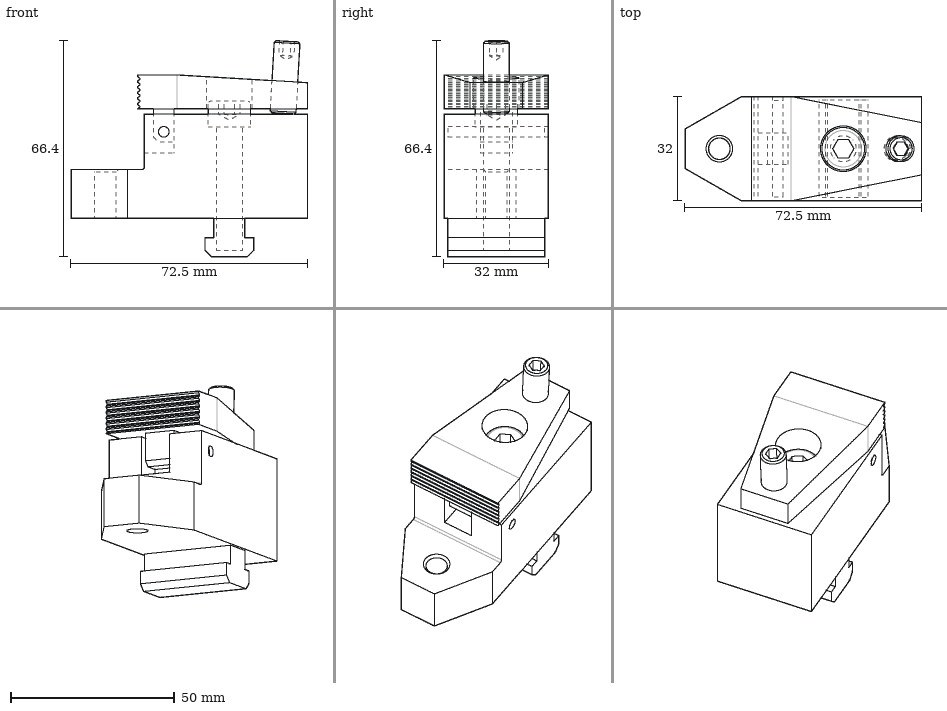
import cadquery as cq
import math


length = 72.5
width = 32.0
housing_height = 32.0
foot_height = 15.0
foot_tip_width = 12.2
foot_taper_length = 17.25
step_x = 22.4
step_fillet = 0.65
mount_hole_x = 10.5
mount_hole_diameter = 6.5
mount_hole_chamfer = 0.8
mount_hole_chamfer_angle = 90.0
slot_width = 9.8
slot_floor_z = 20.0

jaw_gap = 1.6
jaw_front_x = 20.4
jaw_height = 10.45
jaw_kink_x = 32.5
jaw_tail_drop = 2.4
jaw_tail_width = 16.0
jaw_bottom_z = housing_height + jaw_gap
jaw_top_z = jaw_bottom_z + jaw_height
groove_count = 6
groove_depth = 0.7
groove_mouth = 1.3
groove_floor = 0.255
first_groove_drop = 1.2
last_groove_rise = 0.65
groove_pitch = (jaw_height - first_groove_drop - last_groove_rise) / (groove_count - 1)
lug_front_x = 25.2
lug_length = 6.4
lug_bottom_z = 23.35
lug_chamfer = 1.6
lug_rear_x = lug_front_x + lug_length

pin_diameter = 3.25
pin_z = 26.5
pin_inset = 1.2
pin_x = lug_front_x + lug_length / 2

screw_x = 48.5
head_diameter = 13.05
head_height = 8.0
head_top_z = 35.95
head_fillet = 0.95
shank_diameter = 8.0
jaw_clearance_diameter = 14.0
head_socket_width = 5.65
head_socket_depth = 4.0
head_bottom_z = head_top_z - head_height

nut_length = 29.8
nut_stem_width = 9.6
nut_flange_width = 15.0
nut_stem_height = 5.9
nut_flange_height = 5.95
nut_chamfer = 2.0
nut_bottom_z = -(nut_stem_height + nut_flange_height)
shank_end_z = nut_bottom_z + nut_chamfer

set_screw_diameter = 8.0
set_screw_length = 22.2
set_screw_chamfer = 0.6
set_screw_contact_x = 68.4
set_screw_socket_width = 4.05
set_screw_socket_depth = 4.35
set_screw_tilt = 3.3

socket_cone_half_angle = 60.0


def side_prism(points, depth):
    """Extrude an XZ outline to the given depth, centred on Y = 0."""
    return cq.Workplane("XZ").polyline(points).close().extrude(depth / 2, both=True)


def vertical_cylinder(x, diameter, bottom_z, top_z):
    plane = cq.Workplane("XY", origin=(x, 0, bottom_z))
    return plane.circle(diameter / 2).extrude(top_z - bottom_z)


def cross_cylinder(x, z, diameter, cylinder_length):
    plane = cq.Workplane("XZ", origin=(x, 0, z))
    return plane.circle(diameter / 2).extrude(cylinder_length / 2, both=True)


def hex_socket(top_z, across_flats, depth):
    """Hexagonal socket on the Z axis, with a conical floor below its flat-sided part."""
    corner_radius = across_flats / math.sqrt(3)
    cone_depth = corner_radius / math.tan(math.radians(socket_cone_half_angle))
    top_plane = cq.Workplane("XY", origin=(0, 0, top_z))
    hexagon = top_plane.polygon(6, 2 * corner_radius).extrude(-depth - cone_depth)
    bore_profile = [
        (0, top_z),
        (corner_radius, top_z),
        (corner_radius, top_z - depth),
        (0, top_z - depth - cone_depth),
    ]
    bore = cq.Workplane("XZ").polyline(bore_profile).close().revolve(360, (0, 0), (0, 1))
    return hexagon.intersect(bore)


def make_cap_screw():
    head = vertical_cylinder(0, head_diameter, head_bottom_z, head_top_z)
    head = head.faces(">Z").edges().fillet(head_fillet)
    shank = vertical_cylinder(0, shank_diameter, shank_end_z, head_bottom_z)
    socket = hex_socket(head_top_z, head_socket_width, head_socket_depth)
    return head.union(shank).cut(socket).translate((screw_x, 0, 0))


def make_set_screw():
    body = cq.Workplane("XY").circle(set_screw_diameter / 2).extrude(set_screw_length)
    body = body.faces("<Z or >Z").edges().chamfer(set_screw_chamfer)
    body = body.cut(hex_socket(set_screw_length, set_screw_socket_width, set_screw_socket_depth))
    return place_set_screw(body)


def place_set_screw(body):
    """Tilt a body standing at the origin and rest its lower rim on the housing."""
    tip_radius = set_screw_diameter / 2 - set_screw_chamfer
    tip_x = set_screw_contact_x - tip_radius * math.cos(math.radians(set_screw_tilt))
    tip_z = housing_height + tip_radius * math.sin(math.radians(set_screw_tilt))
    tilted = body.rotate((0, 0, 0), (0, 1, 0), set_screw_tilt)
    return tilted.translate((tip_x, 0, tip_z))


def make_pin():
    return cross_cylinder(pin_x, pin_z, pin_diameter, width - 2 * pin_inset)


def make_t_nut():
    stem = nut_stem_width / 2
    flange = nut_flange_width / 2
    half_outline = [
        (stem, 0),
        (stem, -nut_stem_height),
        (flange, -nut_stem_height),
        (flange, nut_bottom_z + nut_chamfer),
        (flange - nut_chamfer, nut_bottom_z),
    ]
    mirrored = [(-x, z) for x, z in reversed(half_outline)]
    nut = side_prism(half_outline + mirrored, nut_length).translate((screw_x, 0, 0))
    return nut.cut(vertical_cylinder(screw_x, shank_diameter, shank_end_z, 0))


def make_housing():
    profile = [
        (0, 0),
        (length, 0),
        (length, housing_height),
        (step_x, housing_height),
        (step_x, foot_height),
        (0, foot_height),
    ]
    plan = [
        (0, foot_tip_width / 2),
        (foot_taper_length, width / 2),
        (length, width / 2),
        (length, -width / 2),
        (foot_taper_length, -width / 2),
        (0, -foot_tip_width / 2),
    ]
    step_corner = cq.selectors.NearestToPointSelector((step_x, 0, foot_height))
    block = side_prism(profile, width).edges(step_corner).fillet(step_fillet)
    block = block.intersect(cq.Workplane("XY").polyline(plan).close().extrude(housing_height))

    foot_top = block.faces(cq.selectors.NearestToPointSelector((mount_hole_x, 0, foot_height)))
    foot_top = foot_top.workplane(origin=(mount_hole_x, 0, foot_height))
    chamfer_diameter = mount_hole_diameter + 2 * mount_hole_chamfer
    block = foot_top.cskHole(mount_hole_diameter, chamfer_diameter, mount_hole_chamfer_angle)

    slot_size = (lug_rear_x - step_x, slot_width, housing_height - slot_floor_z)
    slot = cq.Workplane("XY").box(*slot_size, centered=(False, True, False))
    block = block.cut(slot.translate((step_x, 0, slot_floor_z)))

    block = block.cut(cross_cylinder(pin_x, pin_z, pin_diameter, width))
    block = block.cut(vertical_cylinder(screw_x, shank_diameter, 0, head_bottom_z))
    return block.cut(vertical_cylinder(screw_x, head_diameter, head_bottom_z, housing_height))


def make_jaw():
    profile = [
        (jaw_front_x, jaw_bottom_z),
        (length, jaw_bottom_z),
        (length, jaw_top_z - jaw_tail_drop),
        (jaw_kink_x, jaw_top_z),
        (jaw_front_x, jaw_top_z),
    ]
    plan = [
        (jaw_front_x, width / 2),
        (jaw_kink_x, width / 2),
        (length, jaw_tail_width / 2),
        (length, -jaw_tail_width / 2),
        (jaw_kink_x, -width / 2),
        (jaw_front_x, -width / 2),
    ]
    jaw = side_prism(profile, width)
    jaw = jaw.intersect(cq.Workplane("XY").polyline(plan).close().extrude(jaw_top_z))

    for index in range(groove_count):
        groove_z = jaw_top_z - first_groove_drop - index * groove_pitch
        groove = [
            (jaw_front_x, groove_z + groove_mouth / 2),
            (jaw_front_x + groove_depth, groove_z + groove_floor / 2),
            (jaw_front_x + groove_depth, groove_z - groove_floor / 2),
            (jaw_front_x, groove_z - groove_mouth / 2),
        ]
        jaw = jaw.cut(side_prism(groove, width))

    lug_profile = [
        (lug_front_x, jaw_bottom_z),
        (lug_front_x, lug_bottom_z + lug_chamfer),
        (lug_front_x + lug_chamfer, lug_bottom_z),
        (lug_rear_x, lug_bottom_z),
        (lug_rear_x, jaw_bottom_z),
    ]
    jaw = jaw.union(side_prism(lug_profile, slot_width))
    jaw = jaw.cut(cross_cylinder(pin_x, pin_z, pin_diameter, slot_width))

    jaw = jaw.cut(vertical_cylinder(screw_x, jaw_clearance_diameter, jaw_bottom_z, jaw_top_z))
    set_screw_bore = cq.Workplane("XY").circle(set_screw_diameter / 2).extrude(set_screw_length)
    return jaw.cut(place_set_screw(set_screw_bore))


housing = make_housing()
jaw = make_jaw()
pin = make_pin()
cap_screw = make_cap_screw()
t_nut = make_t_nut()
set_screw = make_set_screw()

result = cq.Compound.makeCompound(
    [housing.val(), jaw.val(), pin.val(), cap_screw.val(), t_nut.val(), set_screw.val()]
)